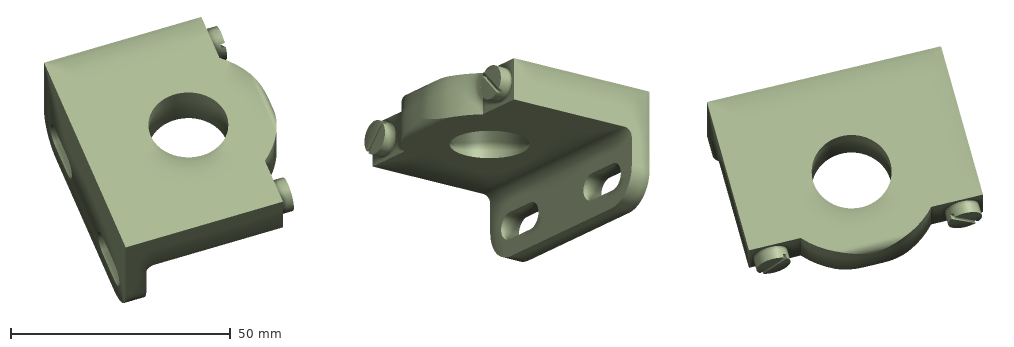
import cadquery as cq
import math

WIDTH = 55.0
HEIGHT = 27.0
PLATE_DEPTH = 38.0
PLATE_THICKNESS = 10.0
FLANGE_THICKNESS = 5.0
INNER_FILLET = 2.0
FLANGE_CORNER_RADIUS = 8.0

BORE_Y = 25.0
BOSS_RADIUS = 20.1
BOSS_EDGE_ROUND = 2.0

BUSHING_DIAMETER = 28.4
BORE_DIAMETER = 18.2

SLOT_SPACING = 32.0
SLOT_LENGTH = 14.5
SLOT_HEIGHT = 6.5
SLOT_Z = 7.5

HEAD_SPACING = 45.0
HEAD_DIAMETER = 8.0
HEAD_HEIGHT = 3.0
DRIVE_SLOT_WIDTH = 1.0
DRIVE_SLOT_DEPTH = 1.0
DRIVE_SLOT_ANGLE = 45.0

PLATE_BOTTOM_Z = HEIGHT - PLATE_THICKNESS
HEAD_Z = HEIGHT - PLATE_THICKNESS / 2
BACK_Y = BORE_Y + BOSS_RADIUS


def make_angle():
    """Plate and flange joined by an inner fillet, with rounded flange corners."""
    fillet_middle = INNER_FILLET * (1 - math.sqrt(0.5))
    profile = (
        cq.Workplane("YZ", origin=(-WIDTH / 2, 0, 0))
        .lineTo(FLANGE_THICKNESS, 0)
        .lineTo(FLANGE_THICKNESS, PLATE_BOTTOM_Z - INNER_FILLET)
        .threePointArc(
            (FLANGE_THICKNESS + fillet_middle, PLATE_BOTTOM_Z - fillet_middle),
            (FLANGE_THICKNESS + INNER_FILLET, PLATE_BOTTOM_Z),
        )
        .lineTo(PLATE_DEPTH, PLATE_BOTTOM_Z)
        .lineTo(PLATE_DEPTH, HEIGHT)
        .lineTo(0, HEIGHT)
        .close()
    )
    angle = profile.extrude(WIDTH)
    return angle.faces("<Z").edges("|Y").fillet(FLANGE_CORNER_RADIUS)


def make_boss():
    """Disc around the bore, limited by a block with rounded top and bottom back edges."""
    disc = (
        cq.Workplane("XY", origin=(0, BORE_Y, PLATE_BOTTOM_Z))
        .circle(BOSS_RADIUS)
        .extrude(PLATE_THICKNESS)
    )
    block = (
        cq.Workplane("XY", origin=(0, BORE_Y, PLATE_BOTTOM_Z))
        .box(2 * BOSS_RADIUS, BACK_Y - BORE_Y, PLATE_THICKNESS, centered=(True, False, False))
        .faces(">Y")
        .edges("|X")
        .fillet(BOSS_EDGE_ROUND)
    )
    return disc.intersect(block)


def make_mounting_slots():
    """Cutters for the two round-ended slots through the flange."""
    return (
        cq.Workplane("XZ", origin=(0, 0, SLOT_Z))
        .pushPoints([(-SLOT_SPACING / 2, 0), (SLOT_SPACING / 2, 0)])
        .slot2D(SLOT_LENGTH, SLOT_HEIGHT)
        .extrude(-FLANGE_THICKNESS)
    )


def make_screw_head(side):
    """Slotted cylindrical head; side is -1 for the left one and 1 for the right one."""
    center_x = side * HEAD_SPACING / 2
    head = (
        cq.Workplane("XZ", origin=(center_x, PLATE_DEPTH, HEAD_Z))
        .circle(HEAD_DIAMETER / 2)
        .extrude(-HEAD_HEIGHT)
    )
    drive_slot = (
        cq.Workplane("XZ", origin=(center_x, PLATE_DEPTH + HEAD_HEIGHT, HEAD_Z))
        .transformed(rotate=(0, 0, -side * DRIVE_SLOT_ANGLE))
        .rect(2 * HEAD_DIAMETER, DRIVE_SLOT_WIDTH)
        .extrude(DRIVE_SLOT_DEPTH)
    )
    return head.cut(drive_slot)


def make_bracket():
    """Bracket with its boss, bushing hole, mounting slots and screw heads."""
    bushing_hole = (
        cq.Workplane("XY", origin=(0, BORE_Y, PLATE_BOTTOM_Z))
        .circle(BUSHING_DIAMETER / 2)
        .extrude(PLATE_THICKNESS)
    )
    body = make_angle().union(make_boss()).cut(bushing_hole).cut(make_mounting_slots())
    for side in (-1, 1):
        body = body.union(make_screw_head(side))
    return body


def make_bushing():
    """Plain ring filling the hole in the plate, flush on both faces."""
    return (
        cq.Workplane("XY", origin=(0, BORE_Y, PLATE_BOTTOM_Z))
        .circle(BUSHING_DIAMETER / 2)
        .circle(BORE_DIAMETER / 2)
        .extrude(PLATE_THICKNESS)
    )


bracket = make_bracket().solids()
bushing = make_bushing()

result = cq.Compound.makeCompound([bracket.val(), bushing.val()])